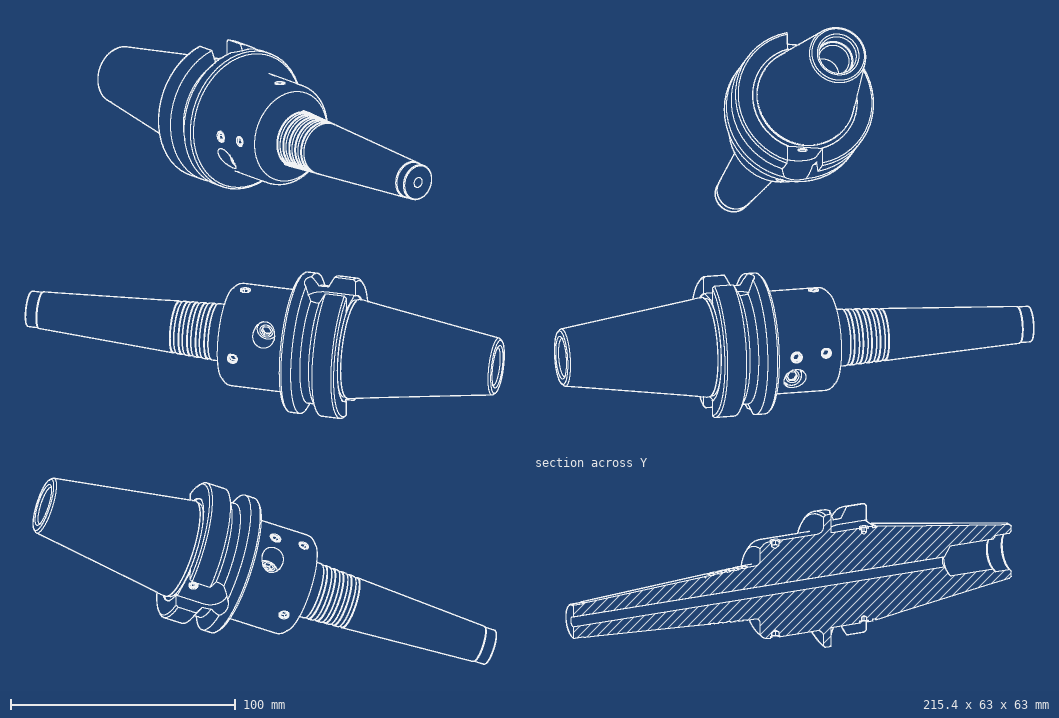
import cadquery as cq
import math


gauge_dia = 44.45
taper_length = 65.4
taper_ratio = 7 / 24
taper_end_radius = (gauge_dia - taper_length * taper_ratio) / 2
taper_chamfer_length = 1.0
taper_chamfer_depth = 0.7

flange_dia = 63.0
flange_front = 2.0
flange_back = 27.0
flange_chamfer = 1.0
groove_centre = 16.6
groove_floor_dia = 53.0
groove_floor_width = 4.0
groove_half_angle = math.radians(30)

relief_start = 1.0
relief_floor = 2.6
relief_inner_dia = 43.6
relief_outer_dia = 47.7

slot_width = 16.1
slot_floor_height = 22.6
slot_arc_centre = 15.1

body_dia = 46.0
body_end = 58.2
body_round = 3.6
body_end_chamfer = 1.5
body_root_fillet = 3.0

total_length = 215.4
nose_end = total_length - taper_length
nose_root_dia = 25.4
nose_root_fillet = 2.0
nose_cylinder_end = 64.4
tip_dia = 16.0
cone_end = 144.4
cone_end_dia = 16.6
tip_start = 144.9
tip_chamfer = 0.4

ring_count = 5
ring_pitch = 4.0
ring_width = 2.1
ring_depth = 0.3

mouth_dia = 19.0
counterbore_dia = 17.0
counterbore_depth = 8.0
thread_mouth_dia = 16.0
thread_bore_dia = 14.0
thread_bore_depth = 30.0
drill_half_angle = math.radians(59)
through_dia = 4.5

balance_screw_dia = 4.5
balance_screw_x = 50.6
balance_screw_count = 4
balance_screw_hex = 3.0
slot_screw_dia = 4.0
slot_screw_hex = 2.0
slot_screw_x = 7.0
set_screw_recess = 0.5
set_screw_chamfer = 0.4

head_height = 3.0
socket_depth = 2.0
hex_corner_ratio = 2 / math.sqrt(3)

clamp_x = 37.0
clamp_offset = 11.8
clamp_hole_dia = 10.0
clamp_seat = 12.0
clamp_head_dia = 9.0
clamp_face_dia = 6.0
clamp_head_chamfer = 1.0
clamp_hex = 4.0

side_screw_dia = 5.0
side_screw_hex = 3.0
side_screw_z = -1.0

half_right_angle = math.sqrt(0.5)


def revolve_about_x(profile):
    return profile.close().revolve(360, (0, 0, 0), (1, 0, 0))


def revolve_about_z(profile):
    return profile.close().revolve(360, (0, 0, 0), (0, 1, 0))


def about_x(shape, angle):
    return shape.rotate((0, 0, 0), (1, 0, 0), angle)


def turned_body():
    taper_start = -taper_length
    gauge_radius = gauge_dia / 2
    flange_radius = flange_dia / 2
    groove_radius = groove_floor_dia / 2
    body_radius = body_dia / 2
    nose_radius = nose_root_dia / 2
    tip_radius = tip_dia / 2
    floor_half = groove_floor_width / 2
    rim_half = floor_half + (flange_radius - groove_radius) * math.tan(groove_half_angle)
    chamfer_radius = taper_end_radius + taper_chamfer_length * taper_ratio / 2
    chamfer_start = body_end - body_end_chamfer
    chamfer_top = body_radius - body_round * (1 - half_right_angle)
    return revolve_about_x(
        cq.Workplane("XY")
        .moveTo(taper_start, 0)
        .lineTo(taper_start, taper_end_radius - taper_chamfer_depth)
        .lineTo(taper_start + taper_chamfer_length, chamfer_radius)
        .lineTo(0, gauge_radius)
        .lineTo(relief_start, gauge_radius)
        .lineTo(relief_start, relief_inner_dia / 2)
        .lineTo(relief_floor, relief_inner_dia / 2)
        .lineTo(relief_floor, relief_outer_dia / 2)
        .lineTo(flange_front, relief_outer_dia / 2)
        .lineTo(flange_front, flange_radius - flange_chamfer)
        .lineTo(flange_front + flange_chamfer, flange_radius)
        .lineTo(groove_centre - rim_half, flange_radius)
        .lineTo(groove_centre - floor_half, groove_radius)
        .lineTo(groove_centre + floor_half, groove_radius)
        .lineTo(groove_centre + rim_half, flange_radius)
        .lineTo(flange_back - flange_chamfer, flange_radius)
        .lineTo(flange_back, flange_radius - flange_chamfer)
        .lineTo(flange_back, body_radius + body_root_fillet)
        .radiusArc((flange_back + body_root_fillet, body_radius), -body_root_fillet)
        .lineTo(chamfer_start - body_round * half_right_angle, body_radius)
        .radiusArc((chamfer_start, chamfer_top), body_round)
        .lineTo(body_end, chamfer_top - body_end_chamfer)
        .lineTo(body_end, nose_radius + nose_root_fillet)
        .radiusArc((body_end + nose_root_fillet, nose_radius), -nose_root_fillet)
        .lineTo(nose_cylinder_end, nose_radius)
        .lineTo(cone_end, cone_end_dia / 2)
        .lineTo(tip_start, tip_radius)
        .lineTo(nose_end - tip_chamfer, tip_radius)
        .lineTo(nose_end, tip_radius - tip_chamfer)
        .lineTo(nose_end, 0)
    )


def nose_radius_at(x):
    slope = (nose_root_dia - cone_end_dia) / 2 / (cone_end - nose_cylinder_end)
    return nose_root_dia / 2 - slope * (x - nose_cylinder_end)


def nose_ring(start):
    """Shallow trapezoidal groove around the nose."""
    end = start + ring_width
    start_radius = nose_radius_at(start)
    end_radius = nose_radius_at(end)
    return revolve_about_x(
        cq.Workplane("XY")
        .moveTo(start, nose_root_dia)
        .lineTo(start, start_radius)
        .lineTo(start + ring_depth, start_radius - ring_depth)
        .lineTo(end - ring_depth, end_radius - ring_depth)
        .lineTo(end, end_radius)
        .lineTo(end, nose_root_dia)
    )


def centre_bore():
    mouth = -taper_length
    mouth_chamfer = (mouth_dia - counterbore_dia) / 2
    thread_chamfer = (thread_mouth_dia - thread_bore_dia) / 2
    shoulder = mouth + counterbore_depth
    thread_end = mouth + thread_bore_depth
    cone_length = (thread_bore_dia - through_dia) / 2 / math.tan(drill_half_angle)
    return revolve_about_x(
        cq.Workplane("XY")
        .moveTo(mouth, 0)
        .lineTo(mouth, mouth_dia / 2)
        .lineTo(mouth + mouth_chamfer, counterbore_dia / 2)
        .lineTo(shoulder, counterbore_dia / 2)
        .lineTo(shoulder, thread_mouth_dia / 2)
        .lineTo(shoulder + thread_chamfer, thread_bore_dia / 2)
        .lineTo(thread_end, thread_bore_dia / 2)
        .lineTo(thread_end + cone_length, through_dia / 2)
        .lineTo(nose_end, through_dia / 2)
        .lineTo(nose_end, 0)
    )


def drive_slot():
    """Round-ended keyway cut down to a flat floor on the +Z side."""
    height = flange_dia / 2
    slot = cq.Workplane("XY", origin=(0, 0, slot_floor_height))
    straight = slot.rect(2 * slot_arc_centre, slot_width).extrude(height)
    rounded = slot.center(slot_arc_centre, 0).circle(slot_width / 2).extrude(height)
    return straight.union(rounded)


def hex_socket(flats, top):
    """Hexagon socket with a drilled cone at its floor, opening at Z = top."""
    corner_dia = flats * hex_corner_ratio
    floor = top - socket_depth
    prism = cq.Workplane("XY", origin=(0, 0, floor)).polygon(6, corner_dia).extrude(socket_depth)
    cone_depth = corner_dia / 2 / math.tan(drill_half_angle)
    cone = revolve_about_z(
        cq.Workplane("XZ")
        .moveTo(0, floor)
        .lineTo(corner_dia / 2, floor)
        .lineTo(0, floor - cone_depth)
    )
    return prism.union(cone)


def screw_void(hole_dia, head_dia, face_dia, chamfer_height, hex_flats, face_height):
    """Empty space around and inside a chamfered screw head that faces +Z on the Z axis."""
    seat = face_height - head_height
    hole = cq.Workplane("XY", origin=(0, 0, seat)).circle(hole_dia / 2).extrude(body_dia / 2)
    head = revolve_about_z(
        cq.Workplane("XZ")
        .moveTo(0, seat)
        .lineTo(head_dia / 2, seat)
        .lineTo(head_dia / 2, face_height - chamfer_height)
        .lineTo(face_dia / 2, face_height)
        .lineTo(0, face_height)
    )
    return hole.cut(head).union(hex_socket(hex_flats, face_height))


def set_screw(diameter, hex_flats, x, surface_height):
    """Set screw sunk just below a surface on the +Z side; it fills its hole."""
    face_dia = diameter - 2 * set_screw_chamfer
    face_height = surface_height - set_screw_recess
    void = screw_void(diameter, diameter, face_dia, set_screw_chamfer, hex_flats, face_height)
    return void.translate((x, 0, 0))


def clamp_screw():
    """Clamp screw at the bottom of a wider pocket that opens on the -Y side."""
    face_height = clamp_seat + head_height
    void = screw_void(
        clamp_hole_dia, clamp_head_dia, clamp_face_dia, clamp_head_chamfer, clamp_hex, face_height
    )
    return about_x(void, 90).translate((clamp_x, 0, -clamp_offset))


result = turned_body().cut(centre_bore())

for index in range(ring_count):
    result = result.cut(nose_ring(nose_cylinder_end + index * ring_pitch))

for angle in (0, 180):
    result = result.cut(about_x(drive_slot(), angle))
    screw = set_screw(slot_screw_dia, slot_screw_hex, slot_screw_x, slot_floor_height)
    result = result.cut(about_x(screw, angle))

for index in range(balance_screw_count):
    screw = set_screw(balance_screw_dia, balance_screw_hex, balance_screw_x, body_dia / 2)
    result = result.cut(about_x(screw, index * 360 / balance_screw_count))

for angle in (0, 180):
    result = result.cut(about_x(clamp_screw(), angle))

side_screw = about_x(set_screw(side_screw_dia, side_screw_hex, clamp_x, body_dia / 2), 90)
result = result.cut(side_screw.translate((0, 0, side_screw_z)))